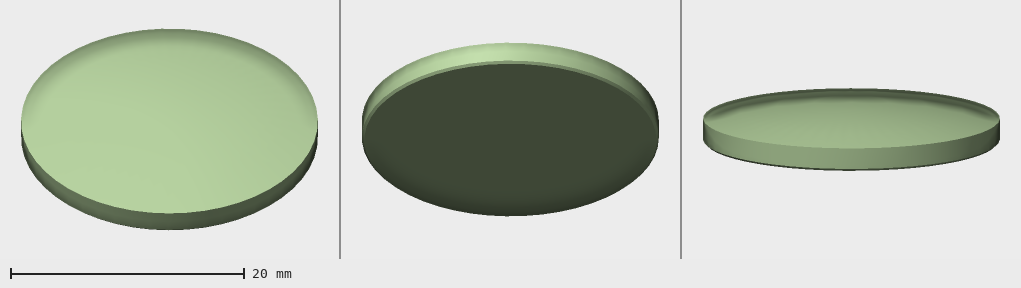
import cadquery as cq

diameter = 25.4
center_thickness = 3.42
edge_thickness = 2.0
bevel = 0.2

radius = diameter / 2
sagitta = center_thickness - edge_thickness
curvature_radius = (radius**2 + sagitta**2) / (2 * sagitta)


def dome_height(r):
    """Height of the convex surface at distance r from the optical axis."""
    return center_thickness - curvature_radius + (curvature_radius**2 - r**2) ** 0.5


half_section = (
    cq.Workplane("XZ")
    .lineTo(radius - bevel, 0)
    .lineTo(radius, bevel)
    .lineTo(radius, edge_thickness)
    .threePointArc((radius / 2, dome_height(radius / 2)), (0, center_thickness))
    .close()
)

result = half_section.revolve(360, (0, 0, 0), (0, 1, 0))